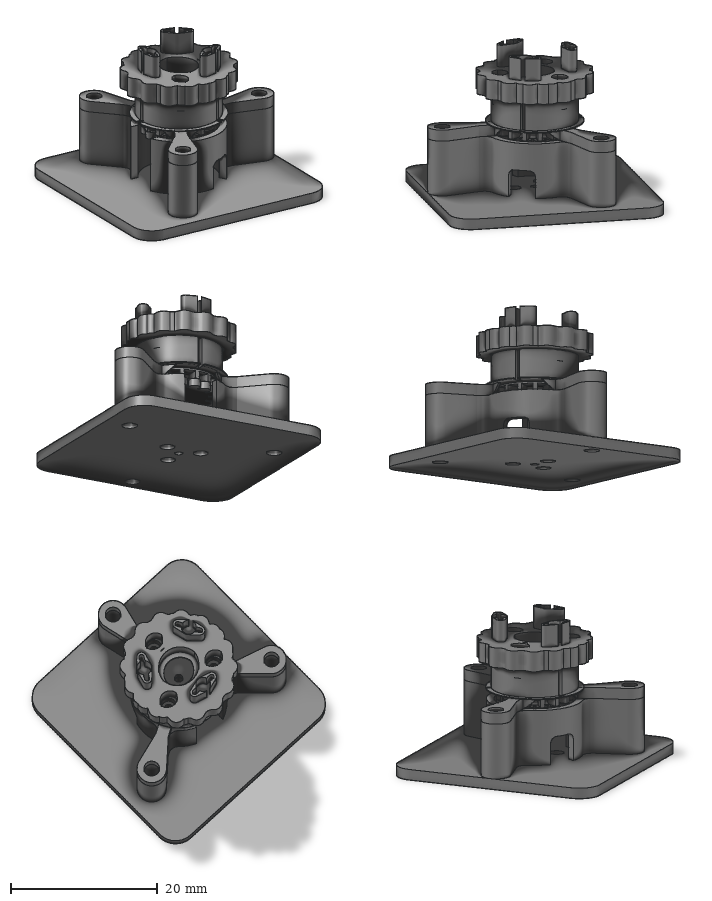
import cadquery as cq
import math

plate_top = 1.5
rotor_bottom = 8.2
housing_top = 9.2
rotor_groove_top = 10.3
rotor_top = 10.53
flange_bottom = 10.77
flange_top = 10.9
stem_top = 14.97
disc_bottom = 15.05
disc_top = 17.85
post_top = 20.9

plate_side = 30.0
plate_corner_radius = 3.0
axis_hole_diameter = 1.1
wire_hole_diameter = 2.0
wire_hole_distance = 3.0

leg_angles = (90, 210, 330)
between_legs_angles = (30, 150, 270)
lug_distance = 13.0
lug_radius = plate_side / 2 - lug_distance
screw_hole_diameter = 2.1
neck_distance = 7.98
neck_half_width = 0.87

housing_outer_radius = 6.6
housing_inner_radius = 5.55
front_opening_width = 4.92
window_width = 3.8
window_top = 5.4
window_corner_radius = 0.9

foot_inner_radius = 5.45
foot_outer_radius = 5.9
foot_gap_top_width = 6.25
foot_gap_bottom_width = 9.12
flange_radius = 6.72
stem_radius = 5.97
stem_pocket_diameter = 6.0
stem_pocket_floor = 12.0
slit_width = 0.6
slit_depth = 0.9
pin_circle_radius = 4.9
pin_socket_diameter = 2.0
pin_socket_depth = 1.5
pin_hole_diameter = 1.1

rotor_radius = 5.25
rotor_hub_radius = 3.7
rotor_groove_depth = 0.33
rotor_bar_width = 0.6
rotor_bar_count = 15
roller_diameter = 1.6
roller_circle_radius = 4.4
roller_core_radius = 4.05

disc_mean_radius = 7.5
eccentricity = 0.3
lobe_count = 15
lobe_height = 0.3
disc_bore_diameter = 5.9
disc_lip_diameter = 4.5
disc_lip_height = 0.25
disc_pin_hole_diameter = 2.8
slot_half_length = 2.7
slot_centre_radius = 1.32
slot_end_radius = 1.02

post_distance = 4.83
post_half_length = 2.25
post_centre_radius = 1.08
post_end_radius = 0.63
post_bore_diameter = 2.0
post_slot_width = 0.65
post_slot_half_length = 1.92


def cylinder(radius, bottom, top):
    return cq.Workplane("XY", origin=(0, 0, bottom)).circle(radius).extrude(top - bottom)


def round_holes(positions, diameter, bottom, top):
    return (
        cq.Workplane("XY", origin=(0, 0, bottom))
        .pushPoints(positions)
        .circle(diameter / 2)
        .extrude(top - bottom)
    )


def turned(shape, angle):
    return shape.rotate((0, 0, 0), (0, 0, 1), angle)


def ring_positions(radius, angles):
    return [
        (radius * math.cos(math.radians(a)), radius * math.sin(math.radians(a)))
        for a in angles
    ]


def taper_angle():
    """Angle between a leg's side, which touches the lug and ends at the neck, and the leg's axis."""
    run = lug_distance - neck_distance
    reach = math.hypot(run, neck_half_width)
    return math.asin(lug_radius / reach) - math.atan2(neck_half_width, run)


def leg(inner_x, bottom, top):
    """Leg along +X: a round lug that tapers to a neck, which runs straight in to inner_x."""
    touch_x = lug_distance - lug_radius * math.sin(taper_angle())
    touch_y = lug_radius * math.cos(taper_angle())
    return (
        cq.Workplane("XY", origin=(0, 0, bottom))
        .moveTo(inner_x, -neck_half_width)
        .lineTo(neck_distance, -neck_half_width)
        .lineTo(touch_x, -touch_y)
        .threePointArc((lug_distance + lug_radius, 0), (touch_x, touch_y))
        .lineTo(neck_distance, neck_half_width)
        .lineTo(inner_x, neck_half_width)
        .close()
        .extrude(top - bottom)
    )


screw_positions = ring_positions(lug_distance, leg_angles)
axis_position = [(0, 0)]


def make_plate():
    plate = (
        cq.Workplane("XY")
        .rect(plate_side, plate_side)
        .extrude(plate_top)
        .edges("|Z")
        .fillet(plate_corner_radius)
    )
    plate = plate.cut(round_holes(screw_positions, screw_hole_diameter, 0, plate_top))
    plate = plate.cut(round_holes(axis_position, axis_hole_diameter, 0, plate_top))
    wire_holes = ring_positions(wire_hole_distance, leg_angles)
    return plate.cut(round_holes(wire_holes, wire_hole_diameter, 0, plate_top))


def leg_flare():
    """Root of a leg along +X: concave arcs, tangent to the wall and to the leg's tapered sides."""
    taper = taper_angle()
    normal_x = -math.sin(taper)
    normal_y = math.cos(taper)
    radius = (neck_distance**2 + neck_half_width**2 - housing_outer_radius**2) / (
        2 * (housing_outer_radius - neck_distance * normal_x - neck_half_width * normal_y)
    )
    centre_x = neck_distance + radius * normal_x
    centre_y = neck_half_width + radius * normal_y
    wall_angle = math.atan2(centre_y, centre_x)
    wall_x = housing_outer_radius * math.cos(wall_angle)
    wall_y = housing_outer_radius * math.sin(wall_angle)
    middle_angle = (wall_angle + math.pi / 2 + taper) / 2
    middle_x = centre_x - radius * math.cos(middle_angle)
    middle_y = centre_y - radius * math.sin(middle_angle)
    return (
        cq.Workplane("XY", origin=(0, 0, plate_top))
        .moveTo(neck_distance, -neck_half_width)
        .threePointArc((middle_x, -middle_y), (wall_x, -wall_y))
        .lineTo(0, 0)
        .lineTo(wall_x, wall_y)
        .threePointArc((middle_x, middle_y), (neck_distance, neck_half_width))
        .close()
        .extrude(housing_top - plate_top)
    )


def make_housing():
    height = housing_top - plate_top
    housing = cylinder(housing_outer_radius, plate_top, housing_top)
    for angle in leg_angles:
        housing = housing.union(turned(leg(housing_inner_radius, plate_top, housing_top), angle))
        housing = housing.union(turned(leg_flare(), angle))
    housing = housing.cut(cylinder(housing_inner_radius, plate_top, housing_top))
    housing = housing.cut(round_holes(screw_positions, screw_hole_diameter, plate_top, housing_top))

    opening = cq.Workplane("XY", origin=(0, -housing_outer_radius / 2, plate_top)).box(
        front_opening_width, housing_outer_radius, height, centered=(True, True, False)
    )
    window = (
        cq.Workplane("XY", origin=(housing_outer_radius / 2, 0, plate_top))
        .box(housing_outer_radius, window_width, window_top - plate_top, centered=(True, True, False))
        .edges("|X and >Z")
        .fillet(window_corner_radius)
    )
    return housing.cut(opening).cut(turned(window, 30)).cut(turned(window, 150))


def foot_gap():
    """Gap between two feet, along +X, wider at its bottom than at its top."""
    return (
        cq.Workplane("YZ")
        .moveTo(-foot_gap_bottom_width / 2, housing_top)
        .lineTo(foot_gap_bottom_width / 2, housing_top)
        .lineTo(foot_gap_top_width / 2, flange_bottom)
        .lineTo(-foot_gap_top_width / 2, flange_bottom)
        .close()
        .extrude(flange_radius)
    )


def make_cap():
    cap = cylinder(foot_outer_radius, housing_top, flange_bottom)
    for angle in between_legs_angles:
        cap = cap.cut(turned(foot_gap(), angle))
    for angle in leg_angles:
        cap = cap.union(turned(leg(foot_inner_radius, housing_top, flange_bottom), angle))
    cap = cap.cut(cylinder(foot_inner_radius, housing_top, flange_bottom))
    cap = cap.cut(round_holes(screw_positions, screw_hole_diameter, housing_top, flange_bottom))
    cap = cap.union(cylinder(flange_radius, flange_bottom, flange_top))
    cap = cap.union(cylinder(stem_radius, flange_top, stem_top))

    slit_inner = stem_radius - slit_depth
    slit = cq.Workplane("XY", origin=(slit_inner, 0, flange_bottom)).box(
        flange_radius, slit_width, stem_top - flange_bottom, centered=(False, True, False)
    )
    for angle in between_legs_angles:
        cap = cap.cut(turned(slit, angle))

    cap = cap.cut(cylinder(stem_pocket_diameter / 2, stem_pocket_floor, stem_top))
    cap = cap.cut(round_holes(axis_position, axis_hole_diameter, flange_bottom, stem_top))
    pins = ring_positions(pin_circle_radius, leg_angles)
    cap = cap.cut(round_holes(pins, pin_socket_diameter, stem_top - pin_socket_depth, stem_top))
    return cap.cut(round_holes(pins, pin_hole_diameter, stem_pocket_floor, stem_top))


def make_rotor():
    hub_middle = (housing_top + rotor_groove_top) / 2
    rotor = (
        cq.Workplane("XZ")
        .moveTo(0, housing_top)
        .lineTo(rotor_hub_radius, housing_top)
        .threePointArc(
            (rotor_hub_radius - rotor_groove_depth, hub_middle), (rotor_hub_radius, rotor_groove_top)
        )
        .lineTo(0, rotor_groove_top)
        .close()
        .revolve()
    )
    rotor = rotor.union(cylinder(rotor_radius, rotor_groove_top, rotor_top))
    rotor = rotor.union(cylinder(roller_core_radius, rotor_bottom, housing_top))
    angles = [270 + i * 360 / rotor_bar_count for i in range(rotor_bar_count)]
    bar = (
        cq.Workplane("XY", origin=(0, 0, housing_top))
        .box(rotor_radius, rotor_bar_width, rotor_groove_top - housing_top, centered=(False, True, False))
        .intersect(cylinder(rotor_radius, housing_top, rotor_groove_top))
    )
    for angle in angles:
        rotor = rotor.union(turned(bar, angle))
    rollers = ring_positions(roller_circle_radius, angles)
    rotor = rotor.union(round_holes(rollers, roller_diameter, rotor_bottom, housing_top))
    return rotor.cut(round_holes(axis_position, axis_hole_diameter, rotor_bottom, rotor_top))


def lobed_disc(offset_y, lobe_angle):
    """One lobed disc, moved off the axis, with its stepped bore and three pin holes."""
    half_pitch = math.pi / lobe_count
    spread = 1 - math.cos(half_pitch)
    pull = lobe_height * (1 + math.cos(half_pitch))
    constant = disc_mean_radius**2 * spread + lobe_height * pull
    arc_radius = (math.sqrt(pull**2 + spread * constant) - pull) / spread
    lobe_centre = disc_mean_radius + lobe_height - arc_radius
    hollow_centre = disc_mean_radius - lobe_height + arc_radius
    join_x = (lobe_centre + hollow_centre * math.cos(half_pitch)) / 2
    join_y = hollow_centre * math.sin(half_pitch) / 2
    join_radius = math.hypot(join_x, join_y)
    join_angle = math.atan2(join_y, join_x)

    def outline_point(radius, angle):
        direction = angle + math.radians(lobe_angle)
        return radius * math.cos(direction), radius * math.sin(direction)

    outline = cq.Workplane("XY", origin=(0, 0, disc_bottom)).moveTo(*outline_point(join_radius, -join_angle))
    for lobe in range(lobe_count):
        lobe_middle = 2 * half_pitch * lobe
        hollow_middle = lobe_middle + half_pitch
        next_lobe = hollow_middle + half_pitch
        outline = outline.threePointArc(
            outline_point(disc_mean_radius + lobe_height, lobe_middle),
            outline_point(join_radius, lobe_middle + join_angle),
        ).threePointArc(
            outline_point(disc_mean_radius - lobe_height, hollow_middle),
            outline_point(join_radius, next_lobe - join_angle),
        )
    disc = (
        outline.close()
        .extrude(disc_top - disc_bottom)
    )
    disc = disc.cut(cylinder(disc_lip_diameter / 2, disc_bottom, disc_top))
    disc = disc.cut(cylinder(disc_bore_diameter / 2, disc_bottom + disc_lip_height, disc_top))
    pins = ring_positions(pin_circle_radius, leg_angles)
    disc = disc.cut(round_holes(pins, disc_pin_hole_diameter, disc_bottom, disc_top))
    return disc.translate((0, offset_y, 0))


def bulged_bar(distance, half_length, centre_radius, end_radius, bottom, top):
    """Bar at +X, long across it, whose outline wraps a centre circle and two smaller end circles."""
    end_y = half_length - end_radius
    tilt = math.asin((centre_radius - end_radius) / end_y)
    side_x = centre_radius * math.cos(tilt)
    side_y = centre_radius * math.sin(tilt)
    tip_x = end_radius * math.cos(tilt)
    tip_y = end_y + end_radius * math.sin(tilt)
    return (
        cq.Workplane("XY", origin=(distance, 0, bottom))
        .moveTo(side_x, side_y)
        .lineTo(tip_x, tip_y)
        .threePointArc((0, half_length), (-tip_x, tip_y))
        .lineTo(-side_x, side_y)
        .threePointArc((-centre_radius, 0), (-side_x, -side_y))
        .lineTo(-tip_x, -tip_y)
        .threePointArc((0, -half_length), (tip_x, -tip_y))
        .lineTo(side_x, -side_y)
        .threePointArc((centre_radius, 0), (side_x, side_y))
        .close()
        .extrude(top - bottom)
    )


def make_post():
    """Hollow post at +X with a slit on its outer side."""
    base = cq.Workplane("XY", origin=(post_distance, 0, disc_top))
    height = post_top - disc_top
    post = bulged_bar(
        post_distance, post_half_length, post_centre_radius, post_end_radius, disc_top, post_top
    )
    post = post.cut(base.circle(post_bore_diameter / 2).extrude(height))
    post = post.cut(base.slot2D(2 * post_slot_half_length, post_slot_width, 90).extrude(height))
    slit = base.box(post_centre_radius, slit_width, height, centered=(False, True, False))
    return post.cut(slit)


def make_disc():
    slot = bulged_bar(
        pin_circle_radius, slot_half_length, slot_centre_radius, slot_end_radius, disc_bottom, disc_top
    )
    slot = turned(slot, 270).translate((0, eccentricity, 0))
    slotted_disc = lobed_disc(eccentricity, 90).cut(slot)
    disc = slotted_disc.union(lobed_disc(-eccentricity, 270), clean=False)
    for angle in between_legs_angles:
        disc = disc.union(turned(make_post(), angle), clean=False)
    return disc


plate = make_plate()
housing = make_housing()
cap = make_cap()
rotor = make_rotor()
disc = make_disc()

result = cq.Compound.makeCompound([plate.val(), housing.val(), cap.val(), rotor.val(), disc.val()])